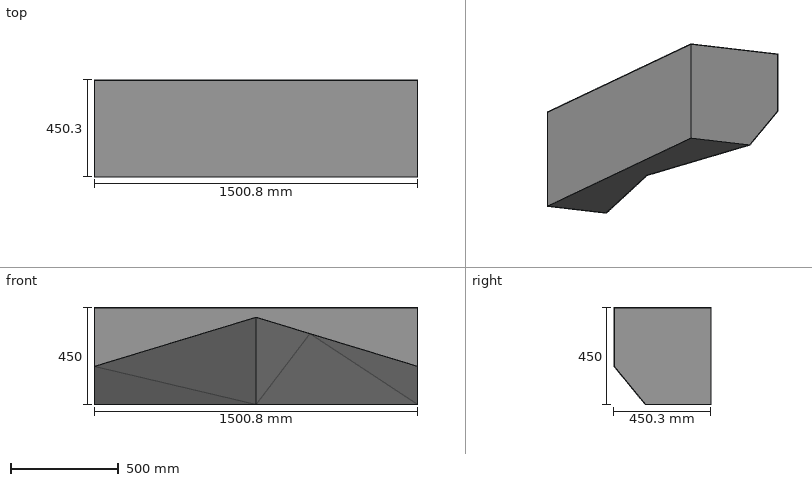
import cadquery as cq

length = 1500.82
depth = 450.25
height = 450.01

front_height_at_end = 273.0
front_height_at_middle = 45.0
base_setback_at_end = 145.0
base_setback_at_middle = 306.0

fold_start = 250.0

half_length = length / 2
front = -depth / 2
back = depth / 2
top = height / 2
bottom = -height / 2


def brow_point(x):
    """Point on the lower edge of the front face, which falls evenly from the middle to each end."""
    slope = (front_height_at_end - front_height_at_middle) / half_length
    return (x, front, top - front_height_at_middle - slope * abs(x))


def flat_face(*corners):
    """Flat face bounded by straight edges through the given corners."""
    outline = cq.Wire.makePolygon([cq.Vector(*corner) for corner in corners], close=True)
    return cq.Face.makeFromWires(outline)


top_front_left = (-half_length, front, top)
top_front_right = (half_length, front, top)
top_back_left = (-half_length, back, top)
top_back_right = (half_length, back, top)
low_back_left = (-half_length, back, bottom)
low_back_right = (half_length, back, bottom)

base_left = (-half_length, front + base_setback_at_end, bottom)
base_middle = (0, front + base_setback_at_middle, bottom)
base_right = (half_length, front + base_setback_at_end, bottom)

brow_left = brow_point(-half_length)
brow_middle = brow_point(0)
brow_fold = brow_point(fold_start)
brow_right = brow_point(half_length)


def block_faces():
    """Upright and level faces of the block."""
    return [
        flat_face(top_front_left, top_front_right, top_back_right, top_back_left),
        flat_face(top_back_left, top_back_right, low_back_right, low_back_left),
        flat_face(low_back_left, low_back_right, base_right, base_middle, base_left),
        flat_face(top_front_left, top_back_left, low_back_left, base_left, brow_left),
        flat_face(top_front_right, top_back_right, low_back_right, base_right, brow_right),
        flat_face(top_front_left, top_front_right, brow_right, brow_fold, brow_middle, brow_left),
    ]


def left_underside():
    """Left slope, folded once from the end of the brow to the middle of the base."""
    return [
        flat_face(brow_left, brow_middle, base_middle),
        flat_face(brow_left, base_middle, base_left),
    ]


def right_underside():
    """Right slope, folded along two lines that fan out from one point on the brow."""
    return [
        flat_face(brow_fold, brow_middle, base_middle),
        flat_face(brow_fold, base_middle, base_right),
        flat_face(brow_fold, base_right, brow_right),
    ]


shell = cq.Shell.makeShell(block_faces() + left_underside() + right_underside())
result = cq.Workplane(obj=cq.Solid.makeSolid(shell))